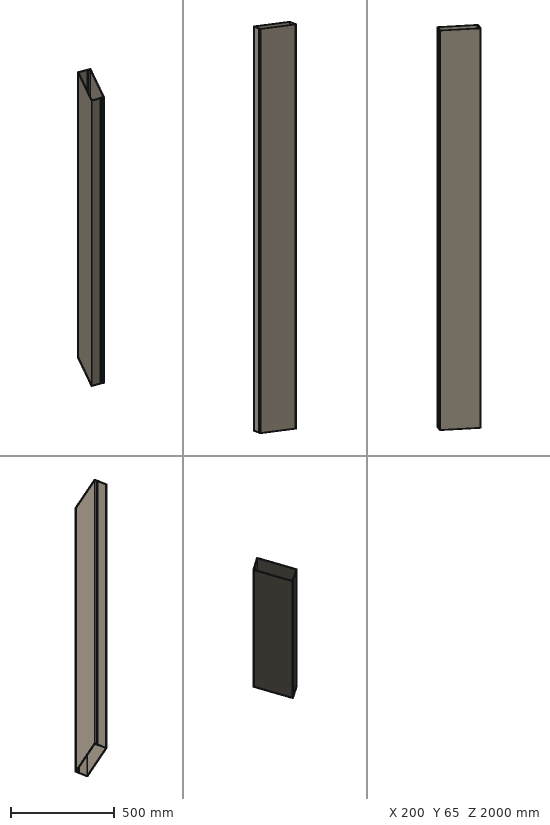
import cadquery as cq

length = 2000.0
width = 200.0
depth = 65.0

wall = 2.0
seam_gap = 5.0
skirt_depth = 12.0

half_width = width / 2
front_y = -depth / 2
back_y = depth / 2
skirt_end_y = back_y - skirt_depth
shoulder_y = skirt_end_y - seam_gap
lid_inner_y = back_y - wall


def extrude_half_profile(right_half):
    """Mirror an outline about the YZ plane and extrude it along the length."""
    left_half = [(-x, y) for x, y in reversed(right_half)]
    outline = cq.Workplane("XY").workplane(offset=-length / 2).polyline(right_half + left_half)
    return outline.close().extrude(length)


def make_channel():
    """Open channel whose side walls step inward to form tongues under the lid skirts."""
    outer_x = half_width
    tongue_outer_x = outer_x - wall
    tongue_inner_x = tongue_outer_x - wall
    return extrude_half_profile([
        (outer_x, front_y),
        (outer_x, shoulder_y),
        (tongue_outer_x, shoulder_y),
        (tongue_outer_x, lid_inner_y),
        (tongue_inner_x, lid_inner_y),
        (tongue_inner_x, shoulder_y - wall),
        (outer_x - wall, shoulder_y - wall),
        (outer_x - wall, front_y + wall),
    ])


def make_lid():
    """Flat cover with two side skirts that enclose the channel tongues."""
    skirt_inner_x = half_width - wall
    return extrude_half_profile([
        (half_width, back_y),
        (half_width, skirt_end_y),
        (skirt_inner_x, skirt_end_y),
        (skirt_inner_x, lid_inner_y),
    ])


channel = make_channel()
lid = make_lid()

result = cq.Compound.makeCompound([channel.val(), lid.val()])